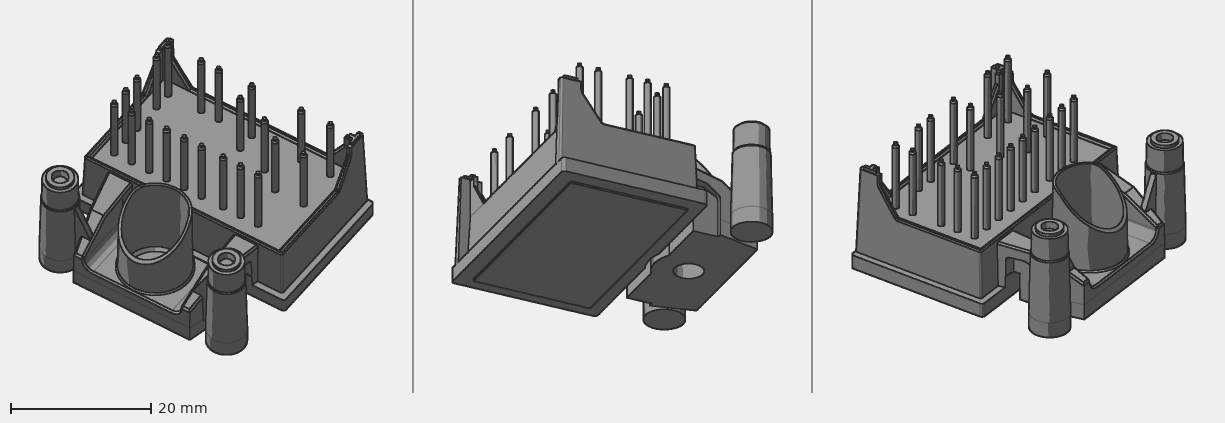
import cadquery as cq
import math


pick_margin = 0.05

part_depth = 34.85

flange_length = 36.6
flange_width = 23.0
flange_bottom = 0.3
flange_top = 2.55
flange_corner_radius = 0.5
flange_front = -flange_width / 2
flange_back = flange_width / 2
notch_radius = 6.25
plate_half_length = 16.0
plate_front = -9.4
plate_back = 9.1

wall_half_length = 17.25
wall_front = -10.45
wall_draft = 0.45
wall_top = 10.4
post_top = 16.47
cavity_half_length = 16.1
cavity_front = -9.55
cavity_back = 8.95
cavity_floor = 10.05
wall_edge_chamfer = 0.3
back_wall_foot = 10.1
back_wall_draft = 0.5
wall_corner_radius = 0.3
rim_outer_chamfer = 0.22
end_wall_inside = 15.95

post_shoulder = 14.9
post_front = 7.7
post_slope_run = 3.2
post_inner_end = 14.9
tip_height = 0.48
tip_back = 10.45
tip_front = 8.35
tip_outside = 16.65
tip_inside = 16.15
tip_arm_end = 15.4
tip_arm_width = 0.6

part_front = flange_back - part_depth
arm_root_half_width = 13.1
tray_front_half_width = 10.0
arm_root_top = 9.8
arm_bend_top = 9.2
arm_bend_y = -17.2
tray_front_top = 5.9
tray_back = -12.75
tray_floor = 4.05
channel_top_half_width = 8.75
channel_bottom_half_width = 8.2
channel_fillet = 1.6
tray_edge_chamfer = 0.28
tray_draft_angle = 1.0
gap_top = 4.35
gap_half_width = 8.65
pocket_inside = 10.9
pocket_back = flange_front
pocket_front = -16.9
pocket_top = 7.75
pocket_front_top = 6.4
pocket_slope_start = -14.4
pocket_corner_radius = 0.6
pocket_draft_angle = 6.0
pocket_overrun = 1.0

cup_y = -17.3
cup_base_radius = 5.42
cup_top_radius = 5.25
cup_top = 15.85
cup_bore_radius = 4.85
cup_bore_bottom_radius = 4.75
cup_bore_chamfer = 0.5
cup_floor = 2.5
cup_hole_radius = 2.22
cup_foot_width = 0.25
cup_slope_start_y = -15.36
cup_slope_angle = 40.0
cup_slope_bend_radius = 3.0

tower_x = 14.3
tower_radius = 3.0
tower_y = part_front + tower_radius
tower_step_radius = 2.77
tower_step_z = 12.55
tower_neck_radius = 2.65
tower_neck_z = 12.8
tower_head_radius = 2.6
tower_ring_radius = 2.03
tower_hole_radius = 1.23
tower_hole_bottom_radius = 1.0
tower_hole_depth = 1.0
web_thickness = 0.9
web_bottom = 2.2
web_top = 12.3
web_top_x = 11.5
web_end_x = 8.9
web_end_z = 7.5

pin_radius = 0.5
pin_tip_radius = 0.27
pin_shoulder = 20.35
pin_tip_start = 20.65
pin_top = 20.98
pin_rows = {
    6.75: [-13.95, -8.25, -5.25, 0.45, 8.95, 13.95],
    3.8: [-13.95, 0.45],
    2.25: [5.65],
    -0.1: [9.05, 13.95],
    -1.2: [-13.95],
    -4.05: [-13.95],
    -7.0: [-13.95, -10.95, -7.95, -4.95, -1.95, 1.05, 4.75, 7.75, 10.75],
}


def block(x_range, y_range, z_range):
    """Box given by its low and high limits along each axis."""
    ranges = (x_range, y_range, z_range)
    sizes = [high - low for low, high in ranges]
    corner = [low for low, high in ranges]
    return cq.Workplane("XY").box(*sizes, centered=False).translate(tuple(corner))


def prism_along_x(yz_points, x_range):
    """Prism with a YZ outline, running from the low to the high X."""
    low, high = x_range
    return cq.Workplane("YZ").workplane(offset=low).polyline(yz_points).close().extrude(high - low)


def prism_along_y(xz_points, y_range):
    """Prism with an XZ outline, running from the low to the high Y."""
    low, high = y_range
    return cq.Workplane("XZ").workplane(offset=-high).polyline(xz_points).close().extrude(high - low)


def turned(rz_points, x, y):
    """Solid of revolution about a vertical axis through (x, y)."""
    return (
        cq.Workplane("XZ").polyline(rz_points).close()
        .revolve(360, (0, 0, 0), (0, 1, 0)).translate((x, y, 0))
    )


def both_sides(solid):
    """The solid together with its mirror image across the YZ plane."""
    return solid.union(solid.mirror("YZ"))


def make_flange():
    flange = block(
        (-flange_length / 2, flange_length / 2), (flange_front, flange_back), (flange_bottom, flange_top)
    )
    flange = flange.edges("|Z").fillet(flange_corner_radius)
    notch = cq.Workplane("XY").center(0, cup_y).circle(notch_radius).extrude(flange_top)
    plate = block((-plate_half_length, plate_half_length), (plate_front, plate_back), (0, flange_top))
    return flange.cut(notch).union(plate)


def make_outer_rim_selector():
    """Selects the outer top edges of the front and end walls, up the slopes to the posts."""
    reach = flange_length
    outer_x = (cavity_half_length + wall_half_length) / 2 - pick_margin
    outer_y = (cavity_front + wall_front) / 2
    bottom = wall_top - pick_margin
    top = post_top - pick_margin
    back = post_front + pick_margin
    front = cq.selectors.BoxSelector((-reach, flange_front, bottom), (reach, outer_y, top))
    left = cq.selectors.BoxSelector((-reach, flange_front, bottom), (-outer_x, back, top))
    right = cq.selectors.BoxSelector((outer_x, flange_front, bottom), (reach, back, top))
    return front + left + right


def make_housing():
    height = post_top - flange_top
    draft_angle = math.degrees(math.atan(wall_draft / height))
    depth = flange_back - wall_front
    housing = (
        cq.Workplane("XY", origin=(0, (flange_back + wall_front) / 2, flange_top))
        .rect(2 * wall_half_length, depth).extrude(height, taper=draft_angle)
    )
    corners = cq.selectors.BoxSelector(
        (-flange_length, -flange_width, flange_top + pick_margin),
        (flange_length, flange_width, post_top - pick_margin),
    )
    housing = housing.edges(corners).fillet(wall_corner_radius)
    cavity = block(
        (-cavity_half_length, cavity_half_length), (cavity_front, cavity_back), (cavity_floor, post_top)
    )
    recess_outline = [
        (back_wall_foot, flange_top),
        (flange_back, flange_top),
        (flange_back, post_top),
        (back_wall_foot - back_wall_draft, post_top),
        (back_wall_foot - back_wall_draft, wall_top),
    ]
    recess = prism_along_x(recess_outline, (-end_wall_inside, end_wall_inside))
    side_relief_outline = [
        (post_front, post_top),
        (post_front, post_shoulder),
        (post_front - post_slope_run, wall_top),
        (flange_front, wall_top),
        (flange_front, post_top),
    ]
    side_relief = prism_along_x(side_relief_outline, (-wall_half_length, wall_half_length))
    slope_end = post_inner_end - post_slope_run
    back_relief_outline = [
        (post_inner_end, post_top),
        (post_inner_end, post_shoulder),
        (slope_end, wall_top),
        (-slope_end, wall_top),
        (-post_inner_end, post_shoulder),
        (-post_inner_end, post_top),
    ]
    back_relief = prism_along_y(back_relief_outline, (cavity_back, flange_back))
    housing = housing.cut(cavity).cut(recess).cut(side_relief).cut(back_relief)
    rim = cq.selectors.BoxSelector(
        (-cavity_half_length - pick_margin, cavity_front - pick_margin, wall_top - pick_margin),
        (cavity_half_length + pick_margin, cavity_back + pick_margin, post_shoulder - 2 * pick_margin),
    )
    housing = housing.edges(rim).chamfer(wall_edge_chamfer)
    return housing.edges(make_outer_rim_selector()).chamfer(rim_outer_chamfer)


def make_post_tips():
    tip_z = (post_top - wall_edge_chamfer, post_top + tip_height)
    bar = block((tip_inside, tip_outside), (tip_front, tip_back), tip_z)
    arm_middle = (tip_front + tip_back) / 2
    arm_y = (arm_middle - tip_arm_width / 2, arm_middle + tip_arm_width / 2)
    arm = block((tip_arm_end, tip_outside), arm_y, tip_z)
    return both_sides(bar.union(arm))


def make_channel():
    """Cutter for the drafted trough between the two arms."""
    outline = [
        (-channel_top_half_width, arm_root_top),
        (-channel_bottom_half_width, tray_floor),
        (channel_bottom_half_width, tray_floor),
        (channel_top_half_width, arm_root_top),
    ]
    trough = prism_along_y(outline, (part_front, 0))
    return trough.edges("|Y and <Z").fillet(channel_fillet)


def make_arm_pocket():
    """Cutter for the arched pocket in the outer side of the +X arm."""
    outline = [
        (pocket_back, -pocket_overrun),
        (pocket_back, pocket_top),
        (pocket_slope_start, pocket_top),
        (pocket_front, pocket_front_top),
        (pocket_front, -pocket_overrun),
    ]
    pocket = (
        cq.Workplane("YZ").workplane(offset=arm_root_half_width).polyline(outline).close()
        .extrude(pocket_inside - arm_root_half_width, taper=pocket_draft_angle)
    )
    upper_corners = cq.selectors.BoxSelector(
        (pocket_inside, part_front, 0), (arm_root_half_width, 0, arm_root_top)
    )
    return pocket.edges("not #X").edges(upper_corners).fillet(pocket_corner_radius)


def make_tray_edge_selector():
    """Selects the long top edges of both arms and the upper edges of the tray front."""
    reach = arm_root_half_width
    front_reach = tray_front_half_width - 2 * pick_margin
    tray_draft_reach = arm_root_top * math.tan(math.radians(tray_draft_angle))
    slope_middle = (arm_bend_top + tray_front_top) / 2
    arm_edges = cq.selectors.BoxSelector(
        (-reach, part_front + tray_draft_reach, slope_middle - tray_edge_chamfer),
        (reach, flange_front, arm_root_top),
    )
    front_edges = cq.selectors.BoxSelector(
        (-front_reach, part_front, tray_floor - pick_margin),
        (front_reach, part_front + tray_draft_reach, tray_front_top + pick_margin),
    )
    return (arm_edges - cq.selectors.ParallelDirSelector(cq.Vector(1, 0, 0))) + front_edges


def make_tray():
    root = (wall_front + cavity_front) / 2
    footprint = [
        (-arm_root_half_width, root),
        (-tray_front_half_width, part_front),
        (tray_front_half_width, part_front),
        (arm_root_half_width, root),
    ]
    profile = [
        (root, flange_top),
        (root, arm_root_top),
        (arm_bend_y, arm_bend_top),
        (part_front, tray_front_top),
        (part_front, 0),
        (tray_back, 0),
        (tray_back, gap_top),
        (flange_front, gap_top),
        (flange_front, flange_top),
    ]
    base = cq.Workplane("XY").polyline(footprint).close().extrude(flange_top)
    upper = (
        cq.Workplane("XY").workplane(offset=flange_top).polyline(footprint).close()
        .extrude(arm_root_top - flange_top, taper=tray_draft_angle)
    )
    arms = prism_along_x(profile, (-arm_root_half_width, arm_root_half_width))
    tray = base.union(upper).intersect(arms).cut(make_channel())
    tray = tray.edges(make_tray_edge_selector()).chamfer(tray_edge_chamfer)
    opening = block((-gap_half_width, gap_half_width), (tray_back, root), (0, arm_root_top))
    return tray.cut(both_sides(make_arm_pocket())).cut(opening)


def make_cup():
    reach = cup_slope_start_y - part_front
    drop = reach * math.tan(math.radians(cup_slope_angle))
    body = turned(
        [
            (0, 0),
            (cup_base_radius, 0),
            (cup_base_radius, tray_floor),
            (cup_top_radius, cup_top),
            (0, cup_top),
        ],
        0, cup_y,
    )
    slope = prism_along_x(
        [
            (cup_y + cup_base_radius, 0),
            (cup_y + cup_base_radius, cup_top),
            (cup_slope_start_y, cup_top),
            (part_front, cup_top - drop),
            (part_front, 0),
        ],
        (-cup_base_radius, cup_base_radius),
    )
    bend_edge = cq.selectors.NearestToPointSelector((0, cup_slope_start_y, cup_top))
    slope = slope.edges(bend_edge).fillet(cup_slope_bend_radius)
    return body.intersect(slope)


def make_cup_foot():
    """Sloped collar where the cup meets the tray floor, kept to the floor area."""
    collar = turned(
        [
            (0, 0),
            (cup_base_radius + cup_foot_width, 0),
            (cup_base_radius + cup_foot_width, tray_floor),
            (cup_base_radius, tray_floor + cup_foot_width),
            (0, tray_floor + cup_foot_width),
        ],
        0, cup_y,
    )
    floor_area = block(
        (-channel_top_half_width, channel_top_half_width), (part_front, tray_back), (0, arm_root_top)
    )
    return collar.intersect(floor_area)


def make_cup_bore():
    return turned(
        [
            (0, 0),
            (cup_hole_radius, 0),
            (cup_hole_radius, cup_floor),
            (cup_bore_bottom_radius - cup_bore_chamfer, cup_floor),
            (cup_bore_bottom_radius, cup_floor + cup_bore_chamfer),
            (cup_bore_radius, cup_top),
            (0, cup_top),
        ],
        0, cup_y,
    )


def make_towers():
    ring_top = post_top + tip_height
    hole_bottom = ring_top - tower_hole_depth
    tower = turned(
        [
            (0, 0),
            (tower_radius, 0),
            (tower_radius, flange_top),
            (tower_step_radius, tower_step_z),
            (tower_neck_radius, tower_neck_z),
            (tower_head_radius, post_top),
            (tower_ring_radius, post_top),
            (tower_ring_radius, ring_top),
            (tower_hole_radius, ring_top),
            (tower_hole_bottom_radius, hole_bottom),
            (0, hole_bottom),
        ],
        tower_x, tower_y,
    )
    web_start = tower_x - (tower_radius + tower_hole_radius) / 2
    web = prism_along_y(
        [
            (web_start, web_bottom),
            (web_start, web_top),
            (web_top_x, web_top),
            (web_end_x, web_end_z),
            (web_end_x, web_bottom),
        ],
        (tower_y - web_thickness / 2, tower_y + web_thickness / 2),
    )
    return both_sides(tower.union(web))


def make_pins():
    pins = cq.Workplane("XY")
    outline = [
        (0, flange_top),
        (pin_radius, flange_top),
        (pin_radius, pin_shoulder),
        (pin_tip_radius, pin_tip_start),
        (pin_tip_radius, pin_top),
        (0, pin_top),
    ]
    for y, x_places in pin_rows.items():
        for x in x_places:
            pins = pins.add(turned(outline, x, y))
    return pins.combine()


result = make_flange().union(make_housing()).union(make_post_tips())
result = result.union(make_tray()).union(make_cup()).union(make_cup_foot()).cut(make_cup_bore())
result = result.union(make_towers()).union(make_pins())